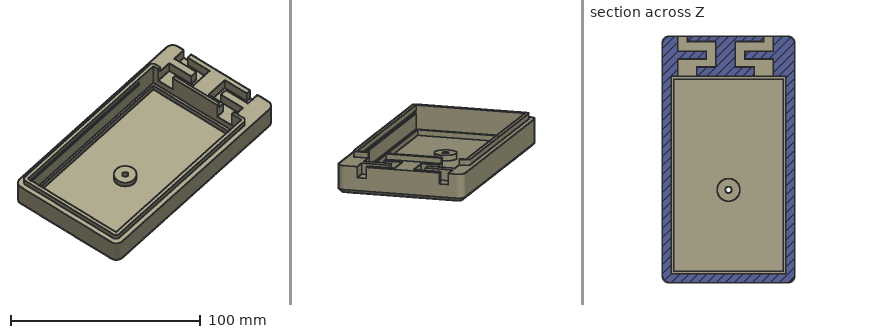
import cadquery as cq

WIDTH = 70.0
LENGTH = 130.0
HEIGHT = 18.0
LIP_HEIGHT = 3.0
RIM_Z = HEIGHT - LIP_HEIGHT
CORNER_RADIUS = 4.0
BOTTOM_CHAMFER = 2.0
BACK_Y = LENGTH / 2
FRONT_Y = -LENGTH / 2

LIP_INSET = 2.9
LIP_BACK_OFFSET = 19.5
LIP_RADIUS = 2.0
LIP_WALL = 2.1
LIP_BACK_WALL = 1.7

LEDGE_Z = 5.0
LEDGE_WIDTH = 1.3
LEDGE_BACK_WIDTH = 1.5
FLOOR_Z = 2.0

GROOVE_DEPTH = 1.0
GROOVE_HEIGHT = 1.5
GROOVE_BACK_GAP = 11.7

BOSS_Y = -16.0
BOSS_DIAMETER = 12.0
BOSS_HOLE_DIAMETER = 3.2
BOSS_HEIGHT = 3.0

CHANNEL_CENTER_X = -1.5
CHANNEL_FLOOR_Z = 9.0
CHANNEL_HALF_SPAN = 25.1
BACK_BAR_HALF_WIDTH = 20.2
BACK_BAR_OFFSET = 2.9
STEM_HALF_WIDTH = 5.2
FINGER_TIP_HALF_WIDTH = 10.1
FINGER_BACK_OFFSET = 7.9
FINGER_FRONT_OFFSET = 12.1
FRONT_BAR_HALF_WIDTH = 15.2
FRONT_BAR_OFFSET = 16.2

lip_half_width = WIDTH / 2 - LIP_INSET
lip_front = FRONT_Y + LIP_INSET
lip_back = BACK_Y - LIP_BACK_OFFSET
cavity_half_width = lip_half_width - LIP_WALL
cavity_front = lip_front + LIP_WALL
cavity_back = lip_back - LIP_BACK_WALL


def block(half_width, front, back, bottom, top):
    """Box centered on X = 0, between the given Y and Z limits."""
    return (
        cq.Workplane("XY")
        .box(2 * half_width, back - front, top - bottom, centered=(True, False, False))
        .translate((0, front, bottom))
    )


def make_shell():
    body = block(WIDTH / 2, FRONT_Y, BACK_Y, 0, RIM_Z)
    body = body.edges("|Z").fillet(CORNER_RADIUS).faces("<Z").chamfer(BOTTOM_CHAMFER)
    lip = block(lip_half_width, lip_front, lip_back, LEDGE_Z, HEIGHT)
    return body.union(lip.edges("|Z").fillet(LIP_RADIUS))


def make_cavity():
    upper = block(cavity_half_width, cavity_front, cavity_back, LEDGE_Z, HEIGHT)
    lower = block(
        cavity_half_width - LEDGE_WIDTH,
        cavity_front + LEDGE_WIDTH,
        cavity_back - LEDGE_BACK_WIDTH,
        FLOOR_Z,
        LEDGE_Z,
    )
    return upper.union(lower)


def make_grooves():
    """One slab wider than the cavity, notching both long walls."""
    return block(
        cavity_half_width + GROOVE_DEPTH,
        cavity_front,
        cavity_back - GROOVE_BACK_GAP,
        RIM_Z - GROOVE_HEIGHT,
        RIM_Z,
    )


def make_channel(side):
    """Winding channel on the side given by the sign of `side`."""
    outline = [
        (CHANNEL_HALF_SPAN, BACK_Y),
        (CHANNEL_HALF_SPAN, BACK_Y - FINGER_BACK_OFFSET),
        (FINGER_TIP_HALF_WIDTH, BACK_Y - FINGER_BACK_OFFSET),
        (FINGER_TIP_HALF_WIDTH, BACK_Y - FINGER_FRONT_OFFSET),
        (CHANNEL_HALF_SPAN, BACK_Y - FINGER_FRONT_OFFSET),
        (CHANNEL_HALF_SPAN, cavity_back),
        (FRONT_BAR_HALF_WIDTH, cavity_back),
        (FRONT_BAR_HALF_WIDTH, BACK_Y - FRONT_BAR_OFFSET),
        (STEM_HALF_WIDTH, BACK_Y - FRONT_BAR_OFFSET),
        (STEM_HALF_WIDTH, BACK_Y - BACK_BAR_OFFSET),
        (BACK_BAR_HALF_WIDTH, BACK_Y - BACK_BAR_OFFSET),
        (BACK_BAR_HALF_WIDTH, BACK_Y),
    ]
    return (
        cq.Workplane("XY", origin=(0, 0, CHANNEL_FLOOR_Z))
        .polyline([(CHANNEL_CENTER_X + side * x, y) for x, y in outline])
        .close()
        .extrude(HEIGHT - CHANNEL_FLOOR_Z)
    )


def cylinder(diameter, bottom, top):
    """Vertical cylinder on the boss axis."""
    return cq.Workplane("XY", origin=(0, BOSS_Y, bottom)).circle(diameter / 2).extrude(top - bottom)


result = make_shell().cut(make_cavity()).cut(make_grooves())
for side in (-1, 1):
    result = result.cut(make_channel(side))
boss_top = FLOOR_Z + BOSS_HEIGHT
result = result.union(cylinder(BOSS_DIAMETER, FLOOR_Z, boss_top))
result = result.cut(cylinder(BOSS_HOLE_DIAMETER, 0, boss_top))